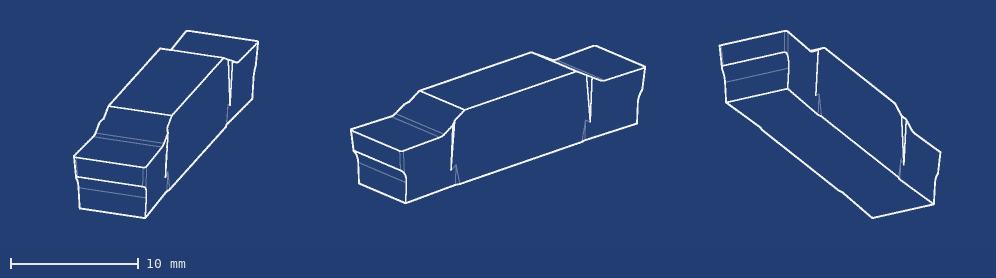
import cadquery as cq
import math

LENGTH = 25.8
EDGE_WIDTH = 6.05
HEIGHT = 6.15
HALF_LENGTH = LENGTH / 2

RAKE_HEIGHT = 4.67
CREST_HALF_LENGTH = 5.88
RAMP_ANGLE = 30.0
RAMP_FOOT_RADIUS = 0.93

FRONT_BOTTOM = 2.95
FRONT_SETBACK = 0.18
UNDERCUT_BOTTOM = 1.78
HEEL_HALF_LENGTH = 12.18
CORNER_RADIUS = 0.2

CORE_WIDTH = 5.3
PLAN_TAPER = 2.0
SIDE_DRAFT = 3.2
HEAD_START = 7.33
HEAD_STEP_ANGLE = 30.0
RELIEF_START = 6.8
RELIEF_STEP_ANGLE = 14.0
STEP_DEPTH = 0.39


def tangent(degrees):
    return math.tan(math.radians(degrees))


def head_half_width(y, z):
    """Half width of the tapered, drafted head at a given place."""
    taper = (HALF_LENGTH - y) * tangent(PLAN_TAPER)
    draft = (RAKE_HEIGHT - z) * tangent(SIDE_DRAFT)
    return EDGE_WIDTH / 2 - taper - draft


def front_y(z):
    """Position of the leaning front face at height z."""
    return HALF_LENGTH - (RAKE_HEIGHT - z) * FRONT_SETBACK / (RAKE_HEIGHT - FRONT_BOTTOM)


def head_envelope(start, step_angle, step_depth):
    """Drafted heads joined by a waist; positive step depths narrow the waist."""
    sections = []
    for z in (0, HEIGHT):
        end = front_y(z)
        root = head_half_width(start, z)
        waist_y = start - abs(step_depth) / tangent(step_angle)
        side = [(head_half_width(end, z), end), (root, start), (root - step_depth, waist_y)]
        side += [(x, -y) for x, y in reversed(side)]
        outline = side + [(-x, y) for x, y in reversed(side)]
        wire = cq.Wire.makePolygon([cq.Vector(x, y, z) for x, y in outline], close=True)
        sections.append(wire)
    return cq.Workplane(obj=cq.Solid.makeLoft(sections, True))


def lengthwise_profile():
    """Solid with the outline in the YZ plane, wider than the part."""
    ramp_foot = CREST_HALF_LENGTH + (HEIGHT - RAKE_HEIGHT) / tangent(RAMP_ANGLE)

    front_bottom_y = HALF_LENGTH - FRONT_SETBACK
    depth = front_bottom_y - HEEL_HALF_LENGTH
    rise = FRONT_BOTTOM - UNDERCUT_BOTTOM

    half = (
        cq.Workplane("YZ")
        .lineTo(HEEL_HALF_LENGTH, 0)
        .lineTo(HEEL_HALF_LENGTH, UNDERCUT_BOTTOM)
        .tangentArcPoint((depth, rise))
        .lineTo(HALF_LENGTH, RAKE_HEIGHT)
        .lineTo(ramp_foot, RAKE_HEIGHT)
        .lineTo(CREST_HALF_LENGTH, HEIGHT)
        .lineTo(0, HEIGHT)
        .close()
        .extrude(EDGE_WIDTH, both=True)
    )
    foot_edge = cq.selectors.NearestToPointSelector((0, ramp_foot, RAKE_HEIGHT))
    half = half.edges("|X").edges(foot_edge).fillet(RAMP_FOOT_RADIUS)
    return half.union(half.mirror("XZ"))


heads = head_envelope(HEAD_START, HEAD_STEP_ANGLE, STEP_DEPTH)
corner_edges = []
for edge in heads.edges().vals():
    is_upright = edge.BoundingBox().zlen > HEIGHT / 2
    if is_upright and abs(edge.Center().y) > HEEL_HALF_LENGTH:
        corner_edges.append(edge)
heads = heads.newObject(corner_edges).fillet(CORNER_RADIUS)

core = cq.Workplane().box(CORE_WIDTH, LENGTH, HEIGHT, centered=(True, True, False))
core = core.intersect(head_envelope(RELIEF_START, RELIEF_STEP_ANGLE, -STEP_DEPTH))

result = core.union(heads).intersect(lengthwise_profile())